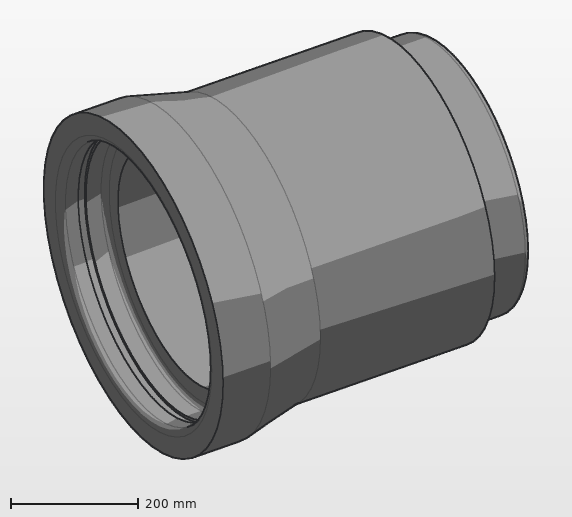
import cadquery as cq

length = 585.0

bell_radius = 286.0
body_radius = 260.5
spigot_radius = 234.5
bell_length = 85.5
taper_length = 105.0
spigot_length = 79.5
spigot_end_fillet = 10.0

bore_radius = 199.5
socket_radius = 237.5
socket_depth = 85.5
mouth_fillet = 11.5
socket_floor_fillet = 9.5

groove_start = 35.0
groove_width = 14.0
groove_depth = 4.5

mouth_y = -length / 2
spigot_end_y = length / 2


def turned(profile):
    """Close a (radius, y) profile in the XY plane and revolve it fully around the Y axis."""
    return profile.close().revolve(axisStart=(0, 0, 0), axisEnd=(0, 1, 0))


def make_pipe():
    """Bored pipe with a bell at one end, a taper, a body and a spigot."""
    taper_start_y = mouth_y + bell_length
    body_start_y = taper_start_y + taper_length
    spigot_start_y = spigot_end_y - spigot_length
    pipe = turned(
        cq.Workplane("XY")
        .moveTo(bore_radius, mouth_y)
        .lineTo(bell_radius, mouth_y)
        .lineTo(bell_radius, taper_start_y)
        .lineTo(body_radius, body_start_y)
        .lineTo(body_radius, spigot_start_y)
        .lineTo(spigot_radius, spigot_start_y)
        .lineTo(spigot_radius, spigot_end_y)
        .lineTo(bore_radius, spigot_end_y)
    )
    spigot_rim = pipe.faces(">Y").edges(cq.selectors.RadiusNthSelector(-1))
    return spigot_rim.fillet(spigot_end_fillet)


def make_socket():
    """Hollow of the socket: rounded mouth, straight wall, rounded floor."""
    floor_y = mouth_y + socket_depth
    mouth_radius = socket_radius + mouth_fillet
    floor_radius = socket_radius - socket_floor_fillet
    return turned(
        cq.Workplane("XY")
        .moveTo(0, mouth_y)
        .lineTo(mouth_radius, mouth_y)
        .radiusArc((socket_radius, mouth_y + mouth_fillet), mouth_fillet)
        .lineTo(socket_radius, floor_y - socket_floor_fillet)
        .radiusArc((floor_radius, floor_y), -socket_floor_fillet)
        .lineTo(0, floor_y)
    )


def make_seal_groove():
    """Ring cut into the socket wall to hold a seal."""
    groove_radius = socket_radius + groove_depth
    groove_start_y = mouth_y + groove_start
    groove_end_y = groove_start_y + groove_width
    return turned(
        cq.Workplane("XY")
        .moveTo(bore_radius, groove_start_y)
        .lineTo(groove_radius, groove_start_y)
        .lineTo(groove_radius, groove_end_y)
        .lineTo(bore_radius, groove_end_y)
    )


result = make_pipe().cut(make_socket()).cut(make_seal_groove())